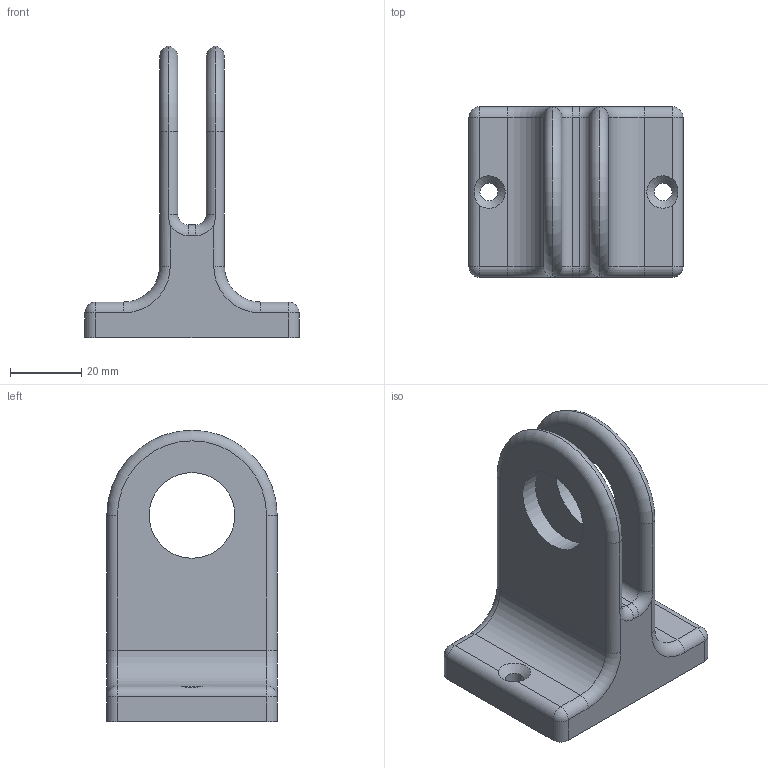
import cadquery as cq
import math

FULL_TURN = 360.0

BASE_LENGTH = 60.0
WIDTH = 47.8
BASE_THICKNESS = 10.0
EDGE_RADIUS = 3.0

SLOT_WIDTH = 8.0
CHEEK_THICKNESS = 5.1
STEM_LENGTH = SLOT_WIDTH + 2 * CHEEK_THICKNESS
ROOT_RADIUS = 10.0
CHEEK_RADIUS = WIDTH / 2
PIN_HEIGHT = 57.8
PIN_DIAMETER = 24.0
TOP_HEIGHT = PIN_HEIGHT + CHEEK_RADIUS
SLOT_FLOOR_HEIGHT = 31.6
SLOT_CORNER_RADIUS = 3.0

SCREW_SPACING = 48.8
SCREW_DIAMETER = 5.0
COUNTERSINK_DIAMETER = 9.1
COUNTERSINK_ANGLE = 90.0


def tombstone(length):
    """Round-topped upright of the full part width, centred on X."""
    upright = cq.Workplane("XY").box(length, WIDTH, PIN_HEIGHT, centered=(True, True, False))
    crown = (
        cq.Workplane("YZ", origin=(-length / 2, 0, PIN_HEIGHT))
        .circle(CHEEK_RADIUS)
        .extrude(length)
    )
    return upright.union(crown).clean()


def outer_body():
    """Base and unslotted stem, with the root fillets and the rounded outer edges."""
    base = cq.Workplane("XY").box(BASE_LENGTH, WIDTH, BASE_THICKNESS, centered=(True, True, False))
    body = base.union(tombstone(STEM_LENGTH)).clean()
    for side in (-1, 1):
        root = cq.selectors.NearestToPointSelector((side * STEM_LENGTH / 2, 0, BASE_THICKNESS))
        body = body.edges(root).fillet(ROOT_RADIUS)

    body = body.edges("|Z and (<X or >X)").fillet(EDGE_RADIUS)
    return body.faces("<X or >X").edges(">Z").fillet(EDGE_RADIUS)


def slotted_envelope():
    """Upright as long as the base, split by the slot, with the slot mouth rounded all round."""
    slot = (
        cq.Workplane("XY", origin=(0, 0, SLOT_FLOOR_HEIGHT))
        .box(SLOT_WIDTH, WIDTH, TOP_HEIGHT, centered=(True, True, False))
        .edges("|Y and <Z")
        .fillet(SLOT_CORNER_RADIUS)
    )
    mouth = cq.selectors.NearestToPointSelector((0, -WIDTH / 2, SLOT_FLOOR_HEIGHT))
    return tombstone(BASE_LENGTH).cut(slot).edges(mouth).fillet(EDGE_RADIUS)


def pin_hole():
    """Cross bore through both cheeks, concentric with their round tops."""
    return (
        cq.Workplane("YZ", origin=(-STEM_LENGTH / 2, 0, PIN_HEIGHT))
        .circle(PIN_DIAMETER / 2)
        .extrude(STEM_LENGTH)
    )


def screw_hole():
    """Countersunk hole on the Z axis, flaring out at the top of the base."""
    screw_radius = SCREW_DIAMETER / 2
    countersink_radius = COUNTERSINK_DIAMETER / 2
    half_angle = math.radians(COUNTERSINK_ANGLE / 2)
    countersink_depth = (countersink_radius - screw_radius) / math.tan(half_angle)
    return (
        cq.Workplane("XZ")
        .lineTo(screw_radius, 0)
        .lineTo(screw_radius, BASE_THICKNESS - countersink_depth)
        .lineTo(countersink_radius, BASE_THICKNESS)
        .lineTo(0, BASE_THICKNESS)
        .close()
        .revolve(FULL_TURN, (0, 0), (0, 1))
    )


bracket = outer_body().intersect(slotted_envelope())
bracket = bracket.cut(pin_hole())
for side in (-1, 1):
    bracket = bracket.cut(screw_hole().translate((side * SCREW_SPACING / 2, 0, 0)))

result = bracket